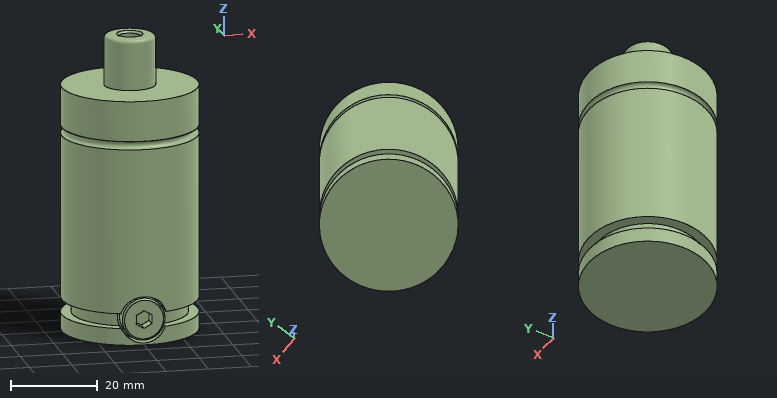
import cadquery as cq
import math

total_height = 70.0
body_diameter = 32.0
body_height = 58.0
rod_diameter = 12.0
rod_top_fillet = 1.0

lower_groove_diameter = 27.0
lower_groove_bottom = 4.0
lower_groove_top = 7.5
upper_groove_height = 47.5
upper_groove_radius = 1.0

hole_diameter = 5.0
hole_mouth_diameter = 6.0
hole_depth = 10.0
drill_point_angle = 118.0

plug_height = 6.0
plug_pocket_diameter = 11.0
plug_diameter = 10.0
plug_face_distance = 15.75
plug_chamfer = 0.4
plug_seat_distance = 12.2
hex_across_flats = 3.65
hex_depth = 3.0

body_radius = body_diameter / 2


def make_disc(diameter, bottom, top):
    """Vertical cylinder on the Z axis between two heights."""
    return cq.Workplane("XY").workplane(offset=bottom).circle(diameter / 2).extrude(top - bottom)


def plug_plane(distance):
    """Workplane facing -Y, centred on the plug axis, at a distance from the body axis."""
    return cq.Workplane("XZ", origin=(0, -distance, plug_height))


def make_lower_groove():
    """Rectangular ring groove; the plug bridges it on the -Y side."""
    outer = make_disc(body_diameter, lower_groove_bottom, lower_groove_top)
    core = make_disc(lower_groove_diameter, lower_groove_bottom, lower_groove_top)
    return outer.cut(core)


def make_upper_groove():
    """Semicircular ring groove centred on the body surface."""
    return (
        cq.Workplane("XZ")
        .center(body_radius, upper_groove_height)
        .circle(upper_groove_radius)
        .revolve(360, (-body_radius, 0, 0), (-body_radius, 1, 0))
    )


def make_rod_hole():
    """Blind drilled hole with a 45 degree mouth and a conical bottom."""
    radius = hole_diameter / 2
    mouth_radius = hole_mouth_diameter / 2
    mouth_depth = mouth_radius - radius
    point_depth = radius / math.tan(math.radians(drill_point_angle / 2))
    straight_end = total_height - hole_depth
    profile = [
        (0, total_height),
        (mouth_radius, total_height),
        (radius, total_height - mouth_depth),
        (radius, straight_end),
        (0, straight_end - point_depth),
    ]
    return cq.Workplane("XZ").polyline(profile).close().revolve(360, (0, 0, 0), (0, 1, 0))


def make_plug():
    """Chamfered plug standing on the floor of its round pocket."""
    return (
        plug_plane(plug_seat_distance)
        .circle(plug_diameter / 2)
        .extrude(plug_face_distance - plug_seat_distance)
        .faces("<Y")
        .chamfer(plug_chamfer)
    )


def make_hex_socket():
    """Hexagon socket with two corners pointing along Z."""
    corner_diameter = hex_across_flats / math.cos(math.radians(30))
    return (
        plug_plane(plug_face_distance)
        .transformed(rotate=(0, 0, 90))
        .polygon(6, corner_diameter)
        .extrude(-hex_depth)
    )


body = make_disc(body_diameter, 0, body_height)
rod = make_disc(rod_diameter, body_height, total_height).faces(">Z").edges().fillet(rod_top_fillet)
plug_pocket = plug_plane(plug_seat_distance).circle(plug_pocket_diameter / 2).extrude(body_radius)

result = (
    body.cut(make_lower_groove())
    .cut(make_upper_groove())
    .cut(plug_pocket)
    .union(rod)
    .cut(make_rod_hole())
    .union(make_plug())
    .cut(make_hex_socket())
)